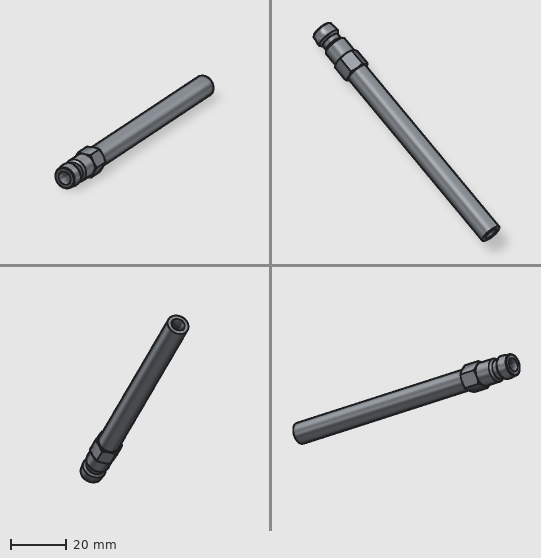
import cadquery as cq
import math

length = 100.0
bore_diameter = 5.0
tube_diameter = 8.0

hex_across_flats = 9.0
hex_start = 13.9
hex_end = 20.9
hex_chamfer_angle = 30.0

body_diameter = 8.8
neck_diameter = 7.0
tip_diameter = 8.2
tip_chamfer = 0.3
tip_length = 1.1
collar_start = 2.9
collar_end = 4.1
neck_start = collar_end + (body_diameter - neck_diameter) / 2
body_start = 7.9
neck_end = body_start - (body_diameter - neck_diameter) / 2


def revolve_about_y(points):
    """Revolve a closed outline of (radius, y) points about the Y axis."""
    return cq.Workplane("XY").polyline(points).close().revolve(360, (0, 0), (0, 1))


def make_turned_body():
    body_radius = body_diameter / 2
    neck_radius = neck_diameter / 2
    tip_radius = tip_diameter / 2
    tube_radius = tube_diameter / 2
    return revolve_about_y([
        (0, 0),
        (tip_radius - tip_chamfer, 0),
        (tip_radius, tip_chamfer),
        (tip_radius, tip_length),
        (body_radius, collar_start),
        (body_radius, collar_end),
        (neck_radius, neck_start),
        (neck_radius, neck_end),
        (body_radius, body_start),
        (body_radius, hex_start),
        (tube_radius, hex_start),
        (tube_radius, length),
        (0, length),
    ])


def make_hexagon():
    """Hexagon with two flats facing up and down and its corners coned at both ends."""
    flat_radius = hex_across_flats / 2
    corner_radius = flat_radius / math.cos(math.radians(30))
    cone_height = (corner_radius - flat_radius) * math.tan(math.radians(hex_chamfer_angle))
    prism = (
        cq.Workplane("XZ", origin=(0, hex_start, 0))
        .polygon(6, 2 * corner_radius)
        .extrude(-(hex_end - hex_start))
    )
    envelope = revolve_about_y([
        (0, hex_start),
        (flat_radius, hex_start),
        (corner_radius, hex_start + cone_height),
        (corner_radius, hex_end - cone_height),
        (flat_radius, hex_end),
        (0, hex_end),
    ])
    return prism.intersect(envelope)


def make_bore():
    return cq.Workplane("XZ").circle(bore_diameter / 2).extrude(-length)


result = make_turned_body().union(make_hexagon()).cut(make_bore())